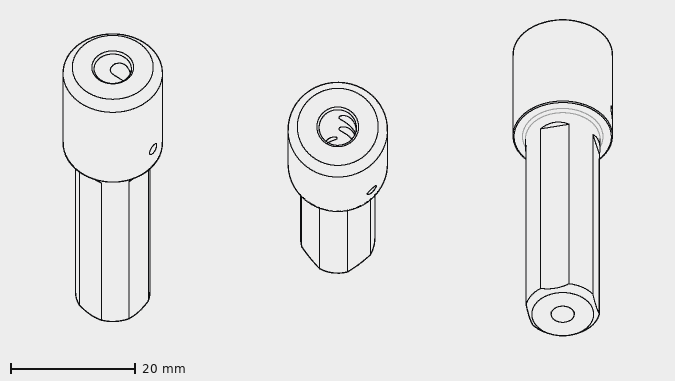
import cadquery as cq

total_length = 60.0
head_diameter = 16.0
head_length = 20.0
shank_diameter = 12.0
shank_length = total_length - head_length

head_top_chamfer = 1.5
head_bottom_chamfer = 0.2
neck_fillet = 0.5
shank_end_chamfer_height = 1.1
shank_end_chamfer_width = 1.0

flat_count = 4
flat_distance = 5.5
flat_top = 37.0
flat_runout = shank_diameter / 2 - flat_distance

bore_diameter = 6.0
bore_depth = head_length
bore_mouth_chamfer = 0.35
through_diameter = 3.7

screw_hole_diameter = 4.5
screw_hole_spacing = 6.0
upper_screw_z = 55.5
screw_hole_heights = [upper_screw_z, upper_screw_z - screw_hole_spacing]
cross_hole_diameter = 2.0
cross_hole_offset = 0.8
cross_hole_z = 44.5


def turned_body():
    """Head and shank as one revolved outline around Z."""
    head_radius = head_diameter / 2
    shank_radius = shank_diameter / 2
    outline = (
        cq.Workplane("XZ")
        .lineTo(shank_radius - shank_end_chamfer_width, 0)
        .lineTo(shank_radius, shank_end_chamfer_height)
        .lineTo(shank_radius, shank_length - neck_fillet)
        .radiusArc((shank_radius + neck_fillet, shank_length), neck_fillet)
        .lineTo(head_radius - head_bottom_chamfer, shank_length)
        .lineTo(head_radius, shank_length + head_bottom_chamfer)
        .lineTo(head_radius, total_length - head_top_chamfer)
        .lineTo(head_radius - head_top_chamfer, total_length)
        .lineTo(0, total_length)
        .close()
    )
    return outline.revolve(360, (0, 0, 0), (0, 1, 0))


def flat_cutter():
    """Material outside the +X flat, ending in a 45 degree run-out at the top."""
    outer = flat_distance + flat_runout
    return (
        cq.Workplane("XZ")
        .moveTo(flat_distance, 0)
        .lineTo(outer, 0)
        .lineTo(outer, flat_top + flat_runout)
        .lineTo(flat_distance, flat_top)
        .close()
        .extrude(shank_diameter / 2, both=True)
    )


def axial_bore():
    """Chamfered blind bore from the top and a smaller hole through the whole length."""
    through = cq.Workplane("XY").circle(through_diameter / 2).extrude(total_length)
    bore = (
        cq.Workplane("XY", origin=(0, 0, total_length))
        .circle(bore_diameter / 2)
        .extrude(-bore_depth)
    )
    mouth = (
        cq.Workplane("XY", origin=(0, 0, total_length))
        .circle(bore_diameter / 2 + bore_mouth_chamfer)
        .extrude(-bore_mouth_chamfer, taper=45)
    )
    return through.union(bore).union(mouth)


def screw_hole(height):
    """Radial hole from the +Y side into the bore."""
    return (
        cq.Workplane("XZ", origin=(0, 0, height))
        .circle(screw_hole_diameter / 2)
        .extrude(-head_diameter / 2)
    )


def cross_hole():
    """Off-centre hole along X, right through the head."""
    return (
        cq.Workplane("YZ", origin=(0, cross_hole_offset, cross_hole_z))
        .circle(cross_hole_diameter / 2)
        .extrude(head_diameter / 2, both=True)
    )


result = turned_body()
for index in range(flat_count):
    angle = index * 360 / flat_count
    result = result.cut(flat_cutter().rotate((0, 0, 0), (0, 0, 1), angle))
result = result.cut(axial_bore())
for screw_height in screw_hole_heights:
    result = result.cut(screw_hole(screw_height))
result = result.cut(cross_hole())